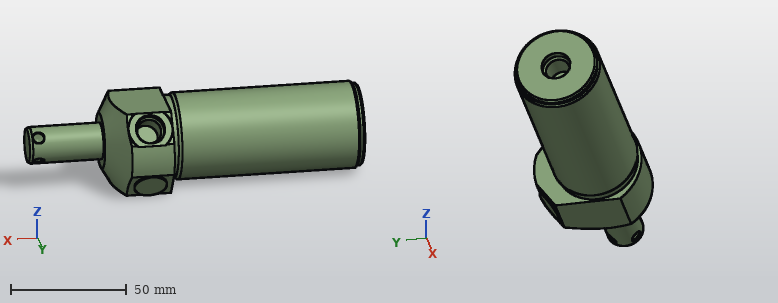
import cadquery as cq
import math

total_length = 145.6
neck_end = 2.2
body_start = 3.0
body_end = 80.7
groove_start = 82.1
head_start = 85.6
head_end = 113.5

body_radius = 19.0
neck_radius = 18.0
base_chamfer = 0.9
rod_radius = 8.0
rod_chamfer_length = 1.3
rod_chamfer_depth = 0.7
nose_radius = 12.1
nose_angle = math.radians(60)

head_width = 47.6
head_far_y = 28.0
head_radius = head_width / 2
head_offset = head_far_y - head_radius
head_half_height = 19.0
head_corner_y = head_offset + math.sqrt(head_radius**2 - head_half_height**2)

flat_angle = math.radians(54.4)
flat_length = 14.4
flat_end_y = head_corner_y + flat_length * math.cos(flat_angle)
flat_end_z = head_half_height - flat_length * math.sin(flat_angle)
flat_middle_y = (head_corner_y + flat_end_y) / 2
flat_middle_z = (head_half_height + flat_end_z) / 2

port_x = 95.4
spotface_diameter = 19.2
spotface_depth = 0.1
plug_diameter = 14.3
plug_height = 0.6
plug_embed = 1.5

hole_mouth_diameter = 12.7
hole_mouth_depth = 2.9
hole_diameter = 10.5
hole_depth = 14.5

dimple_count = 4
dimple_first_angle = 45
dimple_diameter = 5.1
dimple_x = 141.5
dimple_wall_depth = 1.2
dimple_point_angle = math.radians(45)


def stepped_hole(workplane):
    """Blind hole along the workplane's inward normal, with a wide mouth and a 45 degree shoulder."""
    mouth_radius = hole_mouth_diameter / 2
    radius = hole_diameter / 2
    shoulder_depth = hole_mouth_depth + mouth_radius - radius
    tool = (
        cq.Workplane("XZ")
        .polyline([
            (0, 0),
            (mouth_radius, 0),
            (mouth_radius, -hole_mouth_depth),
            (radius, -shoulder_depth),
            (radius, -hole_depth),
            (0, -hole_depth),
        ])
        .close()
        .revolve(360, (0, 0, 0), (0, 1, 0))
    )
    return cq.Workplane(tool.val().moved(workplane.plane.location))


def corner_plane(side):
    """Workplane on a sloping flat: side is 1 for the upper, -1 for the lower."""
    return cq.Workplane(cq.Plane(
        origin=(port_x, flat_middle_y, side * flat_middle_z),
        xDir=(1, 0, 0),
        normal=(0, math.sin(flat_angle), side * math.cos(flat_angle)),
    ))


def make_body():
    """Turned barrel with a stepped base, neck groove and rod."""
    return (
        cq.Workplane("XY")
        .polyline([
            (0, 0),
            (0, neck_radius - base_chamfer),
            (base_chamfer, neck_radius),
            (neck_end, neck_radius),
            (body_start, body_radius),
            (body_end, body_radius),
            (groove_start, neck_radius),
            (head_start, neck_radius),
            (head_start, rod_radius),
            (total_length - rod_chamfer_length, rod_radius),
            (total_length, rod_radius - rod_chamfer_depth),
            (total_length, 0),
        ])
        .close()
        .revolve(360, (0, 0, 0), (1, 0, 0))
    )


def make_head():
    """Eccentric head trimmed by the nose cone, which shares the main axis."""
    opposite_corner_y = 2 * head_offset - head_corner_y
    outline = (
        cq.Workplane("YZ", origin=(head_start, 0, 0))
        .moveTo(opposite_corner_y, head_half_height)
        .lineTo(head_corner_y, head_half_height)
        .lineTo(flat_end_y, flat_end_z)
        .threePointArc((head_far_y, 0), (flat_end_y, -flat_end_z))
        .lineTo(head_corner_y, -head_half_height)
        .lineTo(opposite_corner_y, -head_half_height)
        .threePointArc((head_offset - head_radius, 0), (opposite_corner_y, head_half_height))
        .close()
    )
    length = head_end - head_start
    back_radius = nose_radius + length * math.tan(nose_angle)
    cone = (
        cq.Workplane("XY")
        .polyline([
            (head_start, 0),
            (head_start, back_radius),
            (head_end, nose_radius),
            (head_end, 0),
        ])
        .close()
        .revolve(360, (0, 0, 0), (1, 0, 0))
    )
    return outline.extrude(length).intersect(cone)


def make_plug():
    """Low round plug standing proud of the lower flat."""
    plane = corner_plane(-1).workplane(offset=-plug_embed)
    return plane.circle(plug_diameter / 2).extrude(plug_embed + plug_height)


def make_port():
    """Shallow spotface and blind port hole entering the upper flat."""
    spotface = corner_plane(1).circle(spotface_diameter / 2).extrude(-spotface_depth)
    floor = corner_plane(1).workplane(offset=-spotface_depth)
    return spotface.union(stepped_hole(floor))


def make_base_hole():
    """Blind hole on the main axis, entering the base face."""
    base_face = cq.Workplane("YZ").transformed(rotate=(0, 180, 0))
    return stepped_hole(base_face)


def make_dimple(angle):
    """Radial drilling with a conical point, turned about the main axis by the given angle."""
    radius = dimple_diameter / 2
    wall_end = rod_radius - dimple_wall_depth
    point_end = wall_end - radius / math.tan(dimple_point_angle)
    return (
        cq.Workplane("XZ")
        .polyline([
            (dimple_x, point_end),
            (dimple_x + radius, wall_end),
            (dimple_x + radius, rod_radius),
            (dimple_x, rod_radius),
        ])
        .close()
        .revolve(360, (dimple_x, 0, 0), (dimple_x, 1, 0))
        .rotate((0, 0, 0), (1, 0, 0), angle)
    )


result = make_body().union(make_head()).union(make_plug())
result = result.cut(make_port()).cut(make_base_hole())
for index in range(dimple_count):
    result = result.cut(make_dimple(dimple_first_angle + index * 360 / dimple_count))